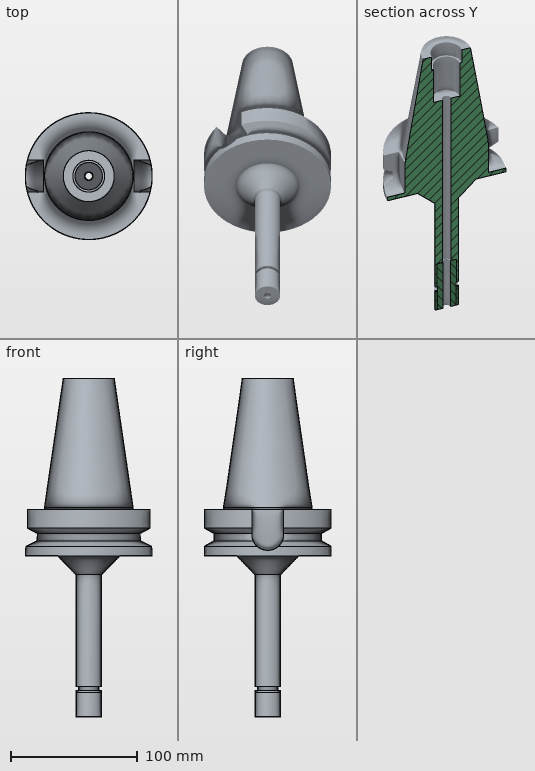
import cadquery as cq

total_height = 266.8
gauge_z = 165.0
flange_top_z = 163.5
flange_bottom_z = 127.0
neck_cone_bottom_z = 112.0
shank_bottom_z = 24.0
collar_top_z = 20.8
nut_top_z = 19.2

taper_large_radius = 35.0
taper_slope = 7 / 24
taper_small_radius = taper_large_radius - taper_slope * (total_height - gauge_z) / 2
relief_radius = 34.5

flange_radius = 50.02
groove_floor_radius = 42.5
groove_top_z = 149.0
groove_bottom_z = 134.5
groove_flank_height = 4.3

slot_width = 25.0
slot_floor_x = 35.5
slot_bottom_z = 131.3

neck_cone_radius = 24.5
shank_radius = 10.0

mouth_bore_radius = 12.5
mouth_bore_depth = 13.3
thread_bore_radius = 10.8
thread_bore_depth = 48.0
channel_radius = 3.5

collet_radius = 8.0
collet_bore_radius = 3.0
collet_seat_depth = 24.0
collet_top_z = shank_bottom_z + collet_seat_depth
nut_radius = shank_radius
collar_radius = nut_radius


def cylinder(radius, bottom_z, top_z):
    """Upright cylinder on the tool axis."""
    return cq.Workplane("XY").workplane(offset=bottom_z).circle(radius).extrude(top_z - bottom_z)


def revolved_blank():
    """Taper, flange and shank turned in one profile."""
    profile = [
        (0, shank_bottom_z),
        (shank_radius, shank_bottom_z),
        (shank_radius, neck_cone_bottom_z),
        (neck_cone_radius, flange_bottom_z),
        (flange_radius, flange_bottom_z),
        (flange_radius, groove_bottom_z),
        (groove_floor_radius, groove_bottom_z + groove_flank_height),
        (groove_floor_radius, groove_top_z - groove_flank_height),
        (flange_radius, groove_top_z),
        (flange_radius, flange_top_z),
        (relief_radius, flange_top_z),
        (taper_large_radius, gauge_z),
        (taper_small_radius, total_height),
        (0, total_height),
    ]
    return cq.Workplane("XZ").polyline(profile).close().revolve(360, (0, 0, 0), (0, 1, 0))


def drive_slot(side):
    """Round-bottomed slot cutter on the +X (side=1) or -X (side=-1) edge of the flange."""
    half_width = slot_width / 2
    arc_center_z = slot_bottom_z + half_width
    return (
        cq.Workplane("YZ", origin=(side * slot_floor_x, 0, 0))
        .moveTo(-half_width, flange_top_z)
        .lineTo(-half_width, arc_center_z)
        .threePointArc((0, slot_bottom_z), (half_width, arc_center_z))
        .lineTo(half_width, flange_top_z)
        .close()
        .extrude(side * (flange_radius - slot_floor_x))
    )


def make_holder():
    """Tool holder with drive slots, stepped bore, coolant channel and collet seat."""
    body = revolved_blank()
    for side in (-1, 1):
        body = body.cut(drive_slot(side))
    body = body.cut(cylinder(mouth_bore_radius, total_height - mouth_bore_depth, total_height))
    body = body.cut(cylinder(thread_bore_radius, total_height - thread_bore_depth, total_height))
    body = body.cut(cylinder(channel_radius, shank_bottom_z, total_height))
    return body.cut(cylinder(collet_radius, shank_bottom_z, collet_top_z))


def make_collet():
    """Bored sleeve reaching into the shank, with a thin collar that rests on the nut."""
    sleeve = cylinder(collet_radius, 0, collet_top_z)
    collar = cylinder(collar_radius, nut_top_z, collar_top_z)
    return sleeve.union(collar).cut(cylinder(collet_bore_radius, 0, collet_top_z))


def make_nut():
    """Plain ring around the lower end of the collet."""
    return cylinder(nut_radius, 0, nut_top_z).cut(cylinder(collet_radius, 0, nut_top_z))


holder = make_holder()
collet = make_collet()
nut = make_nut()

result = cq.Compound.makeCompound([holder.val(), collet.val(), nut.val()])